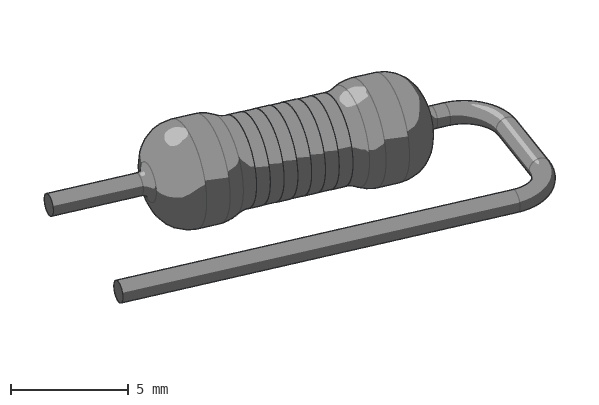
import cadquery as cq
import math

wire_radius = 0.5
total_length = 20.8
total_width = 10.4
bend_radius = 1.98

body_centre = 10.95
cap_radius = 4.8 / 2
waist_radius = 4.08 / 2
dome_radius = 1.68
neck_fillet = 0.44
cap_inner_offset = 3.6
cap_width = 1.08

band_radius = 4.1 / 2
band_count = 4
banded_length = 4.45
band_width = banded_length / (2 * band_count - 1)
band_pitch = 2 * band_width
shoulder_inner_offset = banded_length / 2

tip_y = -total_length / 2
wire_top_y = total_length / 2 - wire_radius
body_y = tip_y + body_centre
body_x = cap_radius - total_width / 2
return_x = total_width / 2 - wire_radius


def arc_point(centre, radius, angle):
    return (centre[0] + radius * math.cos(angle), centre[1] + radius * math.sin(angle))


def make_cap():
    """End cap on +Y, from the waist end of its shoulder to the neck, about the Y axis."""
    dome_base = cap_inner_offset + cap_width
    dome_centre = (cap_radius - dome_radius, dome_base)
    neck_x = wire_radius + neck_fillet
    centre_distance = dome_radius + neck_fillet
    touch_angle = math.acos((neck_x - dome_centre[0]) / centre_distance)
    neck_centre = arc_point(dome_centre, centre_distance, touch_angle)
    dome_end = arc_point(dome_centre, dome_radius, touch_angle)
    dome_mid = arc_point(dome_centre, dome_radius, touch_angle / 2)
    neck_mid = arc_point(neck_centre, neck_fillet, (2 * math.pi + touch_angle) / 2)
    neck_end = (wire_radius, neck_centre[1])

    shoulder_mid = (
        (waist_radius + cap_radius) / 2,
        (shoulder_inner_offset + cap_inner_offset) / 2,
    )
    shoulder_rise = (cap_radius - waist_radius) / 2
    shoulder_run = (cap_inner_offset - shoulder_inner_offset) / 2
    shoulder_radius = (shoulder_rise**2 + shoulder_run**2) / (2 * shoulder_rise)
    shoulder_sweep = math.asin(shoulder_run / shoulder_radius)
    shoulder_centre = (waist_radius + shoulder_radius, shoulder_inner_offset)
    shoulder_concave_mid = arc_point(shoulder_centre, shoulder_radius, math.pi - shoulder_sweep / 2)
    profile = (
        cq.Workplane("XY")
        .moveTo(0, shoulder_inner_offset)
        .lineTo(waist_radius, shoulder_inner_offset)
        .threePointArc(shoulder_concave_mid, shoulder_mid)
        .tangentArcPoint((cap_radius, cap_inner_offset), relative=False)
        .lineTo(cap_radius, dome_base)
        .threePointArc(dome_mid, dome_end)
        .threePointArc(neck_mid, neck_end)
        .lineTo(0, neck_end[1])
        .close()
    )
    return profile.revolve(360, (0, 0, 0), (0, 1, 0))


def make_body():
    waist_start = (0, -shoulder_inner_offset, 0)
    waist = cq.Workplane("XZ", origin=waist_start).circle(waist_radius).extrude(-banded_length)
    cap = make_cap()
    body = waist.union(cap).union(cap.mirror("XZ"))
    for index in range(band_count):
        start = index * band_pitch - shoulder_inner_offset
        band = cq.Workplane("XZ", origin=(0, start, 0)).circle(band_radius).extrude(-band_width)
        body = body.union(band)
    return body.translate((body_x, body_y, 0))


def make_wire():
    """One round wire through the body, bent back parallel to itself."""
    bend_start_y = wire_top_y - bend_radius
    path = (
        cq.Workplane("XY")
        .moveTo(body_x, tip_y)
        .lineTo(body_x, bend_start_y)
        .tangentArcPoint((bend_radius, bend_radius))
        .lineTo(return_x - bend_radius, wire_top_y)
        .tangentArcPoint((bend_radius, -bend_radius))
        .lineTo(return_x, tip_y)
    )
    return cq.Workplane("XZ", origin=(body_x, tip_y, 0)).circle(wire_radius).sweep(path)


result = make_body().union(make_wire())